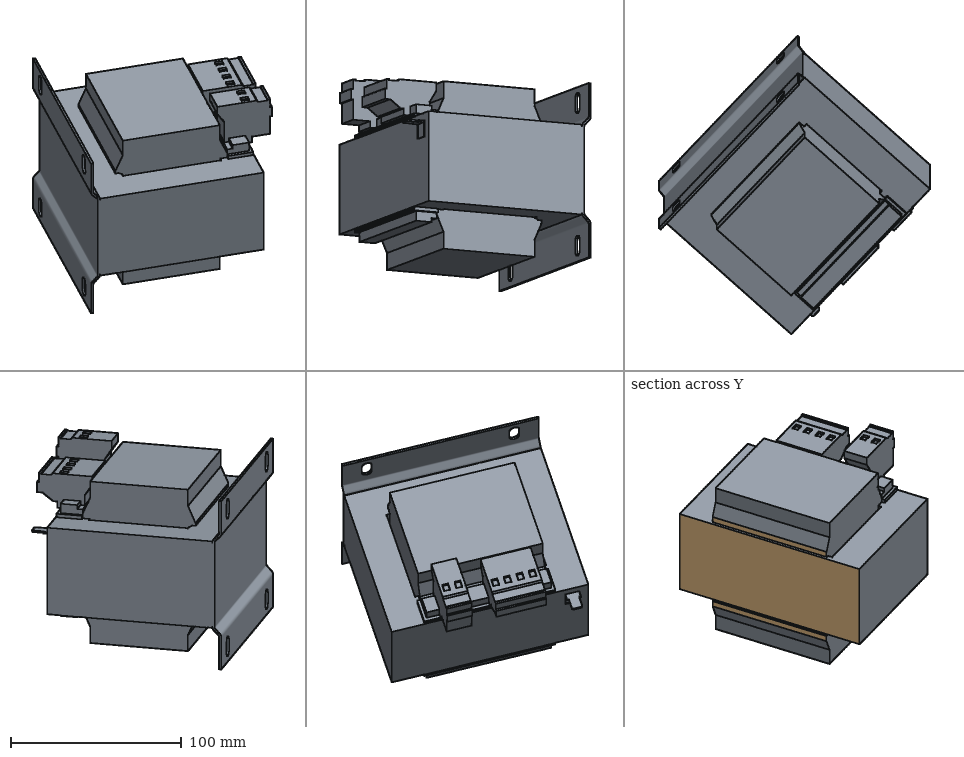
import cadquery as cq
import math


core_width = 120.0
limb_width = core_width / 6
window_length = core_width / 2
core_height = 53.5
core_front = 5.5
window_front = core_front + limb_width
window_back = window_front + window_length
core_back = window_back + limb_width
core_top = core_height / 2
window_half_width = 2 * limb_width

plate_height = 103.9
plate_thickness = 1.5
web_front = core_front - plate_thickness
bend_height = 30.7
bend_inner_radius = 1.5
slot_length = 12.0
slot_width = 6.0
slot_spacing_x = 90.0
slot_spacing_z = 85.0

coil_width = 76.1
coil_top = 49.9
coil_shoulder = 39.8
coil_front = 25.9
coil_back = 85.2
collar_overhang = 4.5
collar_top = 29.6
collar_bottom = 27.8
collar_lip = 2.0

carrier_front = coil_back + collar_overhang
carrier_back = 105.1
carrier_top = 28.9
carrier_bevel_depth = 0.5
carrier_bevel_height = 1.1
rail_back = 103.1
rail_front = 93.0
rail_top = 34.7
rail_step_top = 32.3

terminal_width = 15.2
terminal_top = 50.4
raised_terminal_top = 57.7
low_terminal_centers = (-22.7, -22.7 + terminal_width)
raised_terminal_center = 22.5
terminal_front = 86.0
terminal_neck = 90.4
terminal_back = 118.3
terminal_foot_back = 107.3
terminal_foot_bottom = 29.3
terminal_step_height = 33.1
front_face_height = 5.0
neck_slope_height = 6.7
groove_front = 109.9
groove_back = 116.8
groove_ramp = 1.0
groove_depth = 1.1
ridge_drop = 0.5
taper_top_back = 116.2
taper_foot_back = 109.5
latch_back = 119.5
latch_drop = 6.2
latch_height = 6.2
pocket_width = 3.5
pocket_length = 4.5
pocket_depth = 1.5
pocket_center_y = 103.9
pocket_spacing = 7.5

tab_center = -50.2
tab_foot_width = 8.5
tab_foot_thickness = 0.5
tab_foot_bottom = 12.5
tab_top = 22.1
tab_thickness = 1.1
tab_wide_end = 109.2
tab_blade_width = 6.4
tab_end = 116.8
tab_tip_chamfer = 1.0
tab_edge_chamfer = 0.4


def box(x_range, y_range, z_range):
    """Block between two limits along each axis."""
    sizes = [high - low for low, high in (x_range, y_range, z_range)]
    corner = (x_range[0], y_range[0], z_range[0])
    return cq.Workplane("XY").box(*sizes, centered=False).translate(corner)


def side_extrusion(points, width, center_x=0.0):
    """Closed outline of (Y, Z) points, extruded along X about center_x."""
    profile = cq.Workplane("YZ").polyline(points).close()
    return profile.extrude(width / 2, both=True).translate((center_x, 0, 0))


def with_mirror(body):
    """The body together with its mirror image below Z = 0."""
    return body.union(body.mirror("XY"))


def make_core():
    core = box(
        (-core_width / 2, core_width / 2),
        (core_front, core_back),
        (-core_top, core_top),
    )
    window = box(
        (-window_half_width, window_half_width),
        (window_front, window_back),
        (-core_top, core_top),
    )
    return core.cut(window)


def make_plate():
    """Sheet with a 45 degree joggle above and below the core, and four slots."""
    edge = plate_height / 2
    web_back = web_front + plate_thickness
    web_bend_height = bend_height - web_front
    back_shift = plate_thickness * (math.sqrt(2) - 1)
    bend_outer_radius = bend_inner_radius + plate_thickness
    bends = [
        (0, bend_height, bend_outer_radius),
        (web_front, web_bend_height, bend_inner_radius),
        (web_back, web_bend_height + back_shift, bend_outer_radius),
        (plate_thickness, bend_height + back_shift, bend_inner_radius),
    ]
    front_bends = [(y, z) for y, z, radius in bends[:2]]
    back_bends = [(y, z) for y, z, radius in bends[2:]]
    upper_front = [(0, edge)] + front_bends
    upper_back = back_bends + [(plate_thickness, edge)]
    lower_front = [(y, -z) for y, z in reversed(upper_front)]
    lower_back = [(y, -z) for y, z in reversed(upper_back)]
    plate = side_extrusion(upper_front + lower_front + lower_back + upper_back, core_width)
    for y, z, radius in bends:
        for side in (1, -1):
            bend = cq.NearestToPointSelector((0, y, side * z))
            plate = plate.edges(bend).fillet(radius)
    slots = (
        cq.Workplane("XZ")
        .rarray(slot_spacing_x, slot_spacing_z, 2, 2)
        .slot2D(slot_length, slot_width, 90)
        .extrude(-plate_thickness)
    )
    return plate.cut(slots)


def make_winding():
    """Winding through the windows, with a wider collar next to the core."""
    collar_front = coil_front - collar_overhang
    head = side_extrusion(
        [
            (window_front, 0),
            (window_front, core_top),
            (collar_front + collar_lip, collar_bottom),
            (collar_front, collar_bottom),
            (collar_front, collar_top),
            (coil_front, coil_shoulder),
            (coil_front, coil_top),
            (coil_back, coil_top),
            (coil_back, coil_shoulder),
            (carrier_front, collar_top),
            (carrier_front, core_top),
            (window_back, core_top),
            (window_back, 0),
        ],
        coil_width,
    )
    return with_mirror(head)


def make_carrier():
    """Flange with a stepped rail that carries the terminals."""
    flange = side_extrusion(
        [
            (carrier_front, core_top),
            (carrier_front, carrier_top),
            (carrier_back, carrier_top),
            (carrier_back, core_top + carrier_bevel_height),
            (carrier_back - carrier_bevel_depth, core_top),
        ],
        2 * window_half_width,
    )
    rail = side_extrusion(
        [
            (carrier_front, core_top),
            (carrier_front, rail_step_top),
            (rail_front, rail_step_top),
            (rail_front, rail_top),
            (rail_back, rail_top),
            (rail_back, core_top),
        ],
        coil_width,
    )
    return with_mirror(flange.union(rail))


def make_terminal(center_x, top, lower_back_points):
    """Terminal block with a latch bar behind and two wire pockets on top."""
    groove_floor = top - groove_depth
    ridge_top = top - ridge_drop
    front_edge = top - front_face_height
    latch_top = top - latch_drop
    latch_bottom = latch_top - latch_height
    body = side_extrusion(
        [
            (terminal_neck, terminal_foot_bottom),
            (terminal_neck, front_edge - neck_slope_height),
            (terminal_front, front_edge),
            (terminal_front, top),
            (groove_front, top),
            (groove_front + groove_ramp, groove_floor),
            (groove_back, groove_floor),
            (groove_back, ridge_top),
            (terminal_back, ridge_top),
            (terminal_back, latch_top),
            (latch_back, latch_top),
            (latch_back, latch_bottom),
        ]
        + lower_back_points
        + [
            (terminal_foot_back, terminal_step_height),
            (terminal_foot_back, terminal_foot_bottom),
        ],
        terminal_width,
        center_x,
    )
    pockets = (
        cq.Workplane("XY", origin=(center_x, pocket_center_y, top))
        .rarray(pocket_spacing, 1.2, 2, 1)
        .rect(pocket_width, pocket_length)
        .extrude(-pocket_depth)
    )
    return body.cut(pockets)


def make_low_terminal(center_x):
    """Terminal whose back tapers in below the latch."""
    latch_bottom = terminal_top - latch_drop - latch_height
    taper = [(taper_top_back, latch_bottom), (taper_foot_back, terminal_step_height)]
    return make_terminal(center_x, terminal_top, taper)


def make_raised_terminal(center_x):
    """Terminal whose back drops straight down below the latch."""
    latch_bottom = raised_terminal_top - latch_drop - latch_height
    straight = [(terminal_back, latch_bottom), (terminal_back, terminal_step_height)]
    return make_terminal(center_x, raised_terminal_top, straight)


def make_earth_tab():
    """Angled sheet lug: foot on the core, narrower blade pointing backward."""
    foot_x = (tab_center - tab_foot_width / 2, tab_center + tab_foot_width / 2)
    blade_x = (tab_center - tab_blade_width / 2, tab_center + tab_blade_width / 2)
    blade_z = (tab_top - tab_thickness, tab_top)
    foot = box(foot_x, (core_back, core_back + tab_foot_thickness), (tab_foot_bottom, tab_top))
    shoulder = box(foot_x, (core_back, tab_wide_end), blade_z)
    blade = (
        box(blade_x, (core_back, tab_end), blade_z)
        .edges("|Z and >Y")
        .chamfer(tab_tip_chamfer)
        .faces(">Y")
        .edges("|X")
        .chamfer(tab_edge_chamfer)
    )
    return foot.union(shoulder).union(blade)


result = make_core().union(make_plate()).union(make_winding()).union(make_carrier())
for low_center in low_terminal_centers:
    result = result.union(make_low_terminal(low_center))
result = result.union(make_raised_terminal(raised_terminal_center))
result = result.union(make_earth_tab())